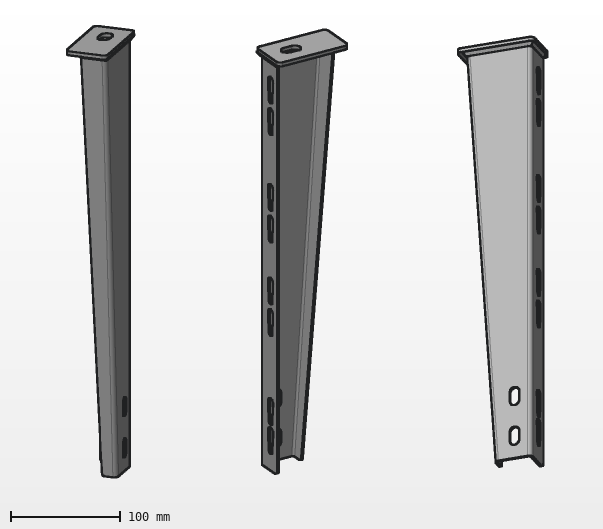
import cadquery as cq
import math

HEIGHT = 420.0
PLATE_X = 40.0
PLATE_Y = 75.0
PLATE_THICKNESS = 4.0
PLATE_CORNER_RADIUS = 4.0
PLATE_SLOT_WIDTH = 11.5
PLATE_SLOT_LENGTH = 19.5
PLATE_SLOT_Y = 12.0

SHEET = 2.0
INNER_BEND_RADIUS = 2.0
OUTER_BEND_RADIUS = SHEET + INNER_BEND_RADIUS
CHANNEL_TOP = HEIGHT - PLATE_THICKNESS
WEB_X = 17.0
BACK_Y = 35.0
WEB_DEPTH_TOP = 64.5
WEB_DEPTH_BOTTOM = 36.5
BACK_FLANGE_WIDTH = 30.0
FRONT_FLANGE_WIDTH_TOP = 24.8
FRONT_FLANGE_WIDTH_BOTTOM = 14.5
BACK_FLANGE_CORNER_RADIUS = 5.0
FRONT_FLANGE_CORNER_RADIUS = 3.0
BACK_FLANGE_EDGE_X = WEB_X - BACK_FLANGE_WIDTH
FRONT_Y_TOP = BACK_Y - WEB_DEPTH_TOP
FRONT_Y_BOTTOM = BACK_Y - WEB_DEPTH_BOTTOM
LEAN_ANGLE = math.atan((WEB_DEPTH_TOP - WEB_DEPTH_BOTTOM) / CHANNEL_TOP)
FLANGE_DROP = OUTER_BEND_RADIUS * math.tan(LEAN_ANGLE)

WEB_SLOT_WIDTH = 9.2
WEB_SLOT_LENGTH = 18.0
WEB_SLOT_Y = 18.0
WEB_SLOT_FIRST_Z = 22.5
WEB_SLOT_PITCH = 40.0
WEB_SLOT_COUNT = 2

FLANGE_SLOT_TOP_WIDTH = 9.2
FLANGE_SLOT_BOTTOM_WIDTH = 6.7
FLANGE_SLOT_LENGTH = 26.5
FLANGE_SLOT_X = -1.3
FLANGE_SLOT_PAIRS = [(45.5, 29.5), (166.0, 32.0), (260.5, 32.0), (369.0, 32.0)]

BEAD_WIDTH = 2.5
BEAD_HEIGHT = 3.8


def channel_block(inset, bend_radius):
    """Solid with the channel's tapering side outline, moved inward by inset and with rounded web edges."""
    lean_inset = inset / math.cos(LEAN_ANGLE)
    block = (
        cq.Workplane("YZ", origin=(BACK_FLANGE_EDGE_X, 0, 0))
        .polyline([
            (BACK_Y - inset, FLANGE_DROP),
            (BACK_Y - inset, CHANNEL_TOP),
            (FRONT_Y_TOP + lean_inset, CHANNEL_TOP),
            (FRONT_Y_BOTTOM + lean_inset, inset * math.tan(LEAN_ANGLE)),
            (FRONT_Y_BOTTOM + OUTER_BEND_RADIUS, FLANGE_DROP),
        ])
        .close()
        .extrude(WEB_X - inset - BACK_FLANGE_EDGE_X)
    )
    return block.faces(">X").edges("<Y or >Y").fillet(bend_radius)


def front_flange_trim():
    """Wedge that narrows the leaning flange from its top to its bottom end."""
    wedge_back_y = BACK_Y - SHEET
    return (
        cq.Workplane("XZ", origin=(0, wedge_back_y, 0))
        .polyline([
            (BACK_FLANGE_EDGE_X, 0),
            (WEB_X - FRONT_FLANGE_WIDTH_BOTTOM, 0),
            (WEB_X - FRONT_FLANGE_WIDTH_TOP, CHANNEL_TOP),
            (BACK_FLANGE_EDGE_X, CHANNEL_TOP),
        ])
        .close()
        .extrude(wedge_back_y - FRONT_Y_TOP)
    )


def tapered_slot(center_z):
    """Cutter through the straight flange: a slot with a wide round top and a narrow round bottom."""
    top_radius = FLANGE_SLOT_TOP_WIDTH / 2
    bottom_radius = FLANGE_SLOT_BOTTOM_WIDTH / 2
    top_z = center_z + FLANGE_SLOT_LENGTH / 2 - top_radius
    bottom_z = center_z - FLANGE_SLOT_LENGTH / 2 + bottom_radius
    return (
        cq.Workplane("XZ", origin=(FLANGE_SLOT_X, BACK_Y, 0))
        .moveTo(-bottom_radius, bottom_z)
        .lineTo(-top_radius, top_z)
        .threePointArc((0, top_z + top_radius), (top_radius, top_z))
        .lineTo(bottom_radius, bottom_z)
        .threePointArc((0, bottom_z - bottom_radius), (-bottom_radius, bottom_z))
        .close()
        .extrude(SHEET)
    )


def web_slots():
    """Cutters through the web."""
    centers = [(WEB_SLOT_Y, WEB_SLOT_FIRST_Z + i * WEB_SLOT_PITCH) for i in range(WEB_SLOT_COUNT)]
    return (
        cq.Workplane("YZ", origin=(WEB_X - SHEET, 0, 0))
        .pushPoints(centers)
        .slot2D(WEB_SLOT_LENGTH, WEB_SLOT_WIDTH, 90)
        .extrude(SHEET)
    )


def make_channel():
    outside = channel_block(0, OUTER_BEND_RADIUS)
    inside = channel_block(SHEET, INNER_BEND_RADIUS)
    channel = outside.cut(inside).cut(front_flange_trim())
    back_corner = (BACK_FLANGE_EDGE_X, BACK_Y - SHEET / 2, 0)
    front_corner = (WEB_X - FRONT_FLANGE_WIDTH_BOTTOM, FRONT_Y_BOTTOM + SHEET / 2, 0)
    for corner, radius in (
        (back_corner, BACK_FLANGE_CORNER_RADIUS),
        (front_corner, FRONT_FLANGE_CORNER_RADIUS),
    ):
        channel = channel.edges(cq.selectors.NearestToPointSelector(corner)).fillet(radius)
    for pair_z, pitch in FLANGE_SLOT_PAIRS:
        for side in (-1, 1):
            channel = channel.cut(tapered_slot(pair_z + side * pitch / 2))
    return channel.cut(web_slots())


def weld_bead():
    """Triangular bead along the outer faces of the channel, widest at the plate."""
    front_edge_x = WEB_X - FRONT_FLANGE_WIDTH_TOP
    bead_bottom = CHANNEL_TOP - BEAD_HEIGHT
    front_y = FRONT_Y_TOP + BEAD_HEIGHT * math.tan(LEAN_ANGLE)

    def outline(z, outset, front):
        return cq.Wire.makePolygon([
            cq.Vector(BACK_FLANGE_EDGE_X, BACK_Y + outset, z),
            cq.Vector(WEB_X + outset, BACK_Y + outset, z),
            cq.Vector(WEB_X + outset, front - outset, z),
            cq.Vector(front_edge_x, front - outset, z),
            cq.Vector(front_edge_x, 0, z),
            cq.Vector(BACK_FLANGE_EDGE_X, 0, z),
        ], close=True)

    lower_outline = outline(bead_bottom, 0, front_y)
    upper_outline = outline(CHANNEL_TOP, BEAD_WIDTH, FRONT_Y_TOP)
    bead = cq.Solid.makeLoft([lower_outline, upper_outline], True)
    return cq.Workplane(bead).cut(channel_block(0, OUTER_BEND_RADIUS))


def make_plate():
    plate = (
        cq.Workplane("XY", origin=(0, 0, CHANNEL_TOP))
        .rect(PLATE_X, PLATE_Y)
        .extrude(PLATE_THICKNESS)
        .edges("|Z")
        .fillet(PLATE_CORNER_RADIUS)
    )
    slot = (
        cq.Workplane("XY", origin=(0, PLATE_SLOT_Y, CHANNEL_TOP))
        .slot2D(PLATE_SLOT_LENGTH, PLATE_SLOT_WIDTH, 90)
        .extrude(PLATE_THICKNESS)
    )
    return plate.cut(slot).union(weld_bead())


channel = make_channel()
head_plate = make_plate()
result = cq.Compound.makeCompound([channel.val(), head_plate.val()])